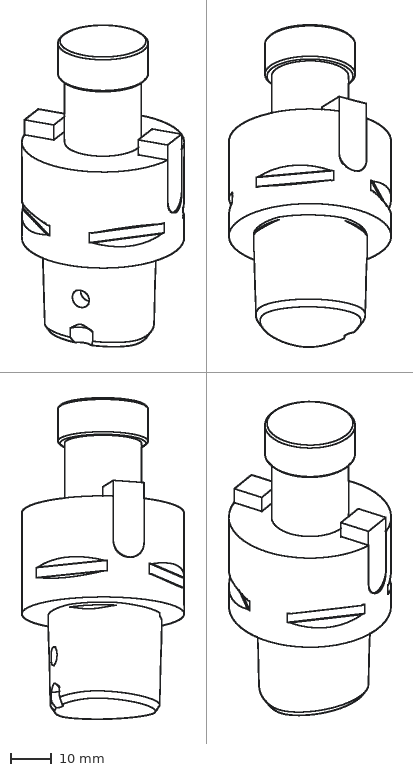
import cadquery as cq
import math

TOTAL_LENGTH = 76.25

FLANGE_DIAMETER = 40.0
FLANGE_HEIGHT = 25.5

SHANK_LENGTH = 24.0
SHANK_MEAN_RADIUS = 14.0
LOBE_HEIGHT = 0.9
LOBE_COUNT = 3
SHANK_STRAIGHT_LENGTH = 2.5
SHANK_TAPER_INSET = 0.5
SHANK_CHAMFER_INSET = 1.1
SHANK_CHAMFER_HEIGHT = 1.6
PROFILE_POINTS = 48

RELIEF_RADIUS = 14.0
RELIEF_STRAIGHT_LENGTH = 0.7
RELIEF_LENGTH = 1.8
RELIEF_FLARE = 0.9

STEM_DIAMETER = 19.0
COLLAR_DIAMETER = 22.3
COLLAR_HEIGHT = 9.2
COLLAR_CHAMFER = 0.5

GROOVE_COUNT = 4
GROOVE_FIRST_ANGLE = 45
GROOVE_CENTER_Z = 7.9
GROOVE_FLOOR_HEIGHT = 2.6
GROOVE_FLOOR_RADIUS = 17.45
GROOVE_SHELF_DEPTH = 0.4
GROOVE_FLANK_ANGLE = 30

KEY_ANGLES = (0, 180)
KEY_WIDTH = 8.0
KEY_DEPTH = 8.0
KEY_OUTER_X = 19.5
KEY_PROJECTION = 4.0
KEY_SEAT_DEPTH = 15.2

RADIAL_HOLE_POINT_ANGLE = 118
RADIAL_HOLE_DIAMETER = 4.6
RADIAL_HOLE_DEPTH = 5.0
RADIAL_HOLE_DROP = 11.5
NOTCH_DIAMETER = 7.0
NOTCH_HEIGHT = 4.05
NOTCH_AXIS_Y = -14.1
NOTCH_POINT_ANGLE = 104

FLANGE_RADIUS = FLANGE_DIAMETER / 2
STEM_LENGTH = TOTAL_LENGTH - SHANK_LENGTH - FLANGE_HEIGHT - COLLAR_HEIGHT
CLEARANCE = 3.8


def lobed_section(mean_radius, z):
    """Closed polygon-shank section; sections of different radius are parallel curves."""
    points = []
    for i in range(PROFILE_POINTS):
        angle = 2 * math.pi * i / PROFILE_POINTS
        lobe_angle = LOBE_COUNT * (angle - math.pi / 2)
        reach = mean_radius + LOBE_HEIGHT * math.cos(lobe_angle)
        slide = -LOBE_COUNT * LOBE_HEIGHT * math.sin(lobe_angle)
        x = reach * math.cos(angle) - slide * math.sin(angle)
        y = reach * math.sin(angle) + slide * math.cos(angle)
        points.append(cq.Vector(x, y, z))
    return cq.Wire.assembleEdges([cq.Edge.makeSpline(points, periodic=True)])


def drill(radius, depth, point_angle):
    """Drill shape pointing along +Z from the origin; depth is to the start of the point."""
    point_height = radius / math.tan(math.radians(point_angle / 2))
    return (
        cq.Workplane("XZ")
        .moveTo(0, -CLEARANCE)
        .lineTo(radius, -CLEARANCE)
        .lineTo(radius, depth)
        .lineTo(0, depth + point_height)
        .close()
        .revolve(360, (0, 0, 0), (0, 1, 0))
    )


def make_shank():
    tip_radius = SHANK_MEAN_RADIUS - SHANK_TAPER_INSET
    chamfer_z = SHANK_CHAMFER_HEIGHT - SHANK_LENGTH
    top = lobed_section(SHANK_MEAN_RADIUS, 0)
    taper_start = lobed_section(SHANK_MEAN_RADIUS, -SHANK_STRAIGHT_LENGTH)
    taper_end = lobed_section(tip_radius, chamfer_z)
    bottom = lobed_section(tip_radius - SHANK_CHAMFER_INSET, -SHANK_LENGTH)

    shank = cq.Workplane(cq.Solid.makeLoft([top, taper_start, taper_end, bottom], True))
    shank = shank.cut(make_lobe_relief())
    shank = shank.cut(make_radial_hole())
    return shank.cut(make_bottom_notch())


def make_lobe_relief():
    """Ring around the shank whose inner wall is a short cylinder flaring into a cone."""
    outer = FLANGE_RADIUS
    return (
        cq.Workplane("XZ")
        .moveTo(RELIEF_RADIUS, 0)
        .lineTo(RELIEF_RADIUS, -RELIEF_STRAIGHT_LENGTH)
        .lineTo(RELIEF_RADIUS + RELIEF_FLARE, -RELIEF_LENGTH)
        .lineTo(outer, -RELIEF_LENGTH)
        .lineTo(outer, 0)
        .close()
        .revolve(360, (0, 0, 0), (0, 1, 0))
    )


def make_radial_hole():
    flat_side_y = LOBE_HEIGHT - SHANK_MEAN_RADIUS
    return (
        drill(RADIAL_HOLE_DIAMETER / 2, RADIAL_HOLE_DEPTH, RADIAL_HOLE_POINT_ANGLE)
        .rotate((0, 0, 0), (1, 0, 0), -90)
        .translate((0, flat_side_y, -RADIAL_HOLE_DROP))
    )


def make_bottom_notch():
    notch = drill(NOTCH_DIAMETER / 2, NOTCH_HEIGHT, NOTCH_POINT_ANGLE)
    return notch.translate((0, NOTCH_AXIS_Y, -SHANK_LENGTH))


def make_groove(angle):
    """Straight groove with a stepped floor and sloping flanks, at the given angle about Z."""
    outer = FLANGE_RADIUS + CLEARANCE
    shelf_radius = GROOVE_FLOOR_RADIUS + GROOVE_SHELF_DEPTH
    half_floor = GROOVE_FLOOR_HEIGHT / 2
    half_mouth = half_floor + (outer - shelf_radius) * math.tan(math.radians(GROOVE_FLANK_ANGLE))
    return (
        cq.Workplane("XZ")
        .moveTo(GROOVE_FLOOR_RADIUS, -half_floor)
        .lineTo(shelf_radius, -half_floor)
        .lineTo(outer, -half_mouth)
        .lineTo(outer, half_mouth)
        .lineTo(shelf_radius, half_floor)
        .lineTo(GROOVE_FLOOR_RADIUS, half_floor)
        .close()
        .extrude(FLANGE_RADIUS, both=True)
        .translate((0, 0, GROOVE_CENTER_Z))
        .rotate((0, 0, 0), (0, 0, 1), angle)
    )


def make_key_block(depth, angle):
    """Key with a square top and a round lower end, running outward from its inner face."""
    half_width = KEY_WIDTH / 2
    bottom_z = FLANGE_HEIGHT - KEY_SEAT_DEPTH
    top_z = FLANGE_HEIGHT + KEY_PROJECTION
    return (
        cq.Workplane("YZ", origin=(KEY_OUTER_X - KEY_DEPTH, 0, 0))
        .moveTo(-half_width, top_z)
        .lineTo(-half_width, bottom_z + half_width)
        .threePointArc((0, bottom_z), (half_width, bottom_z + half_width))
        .lineTo(half_width, top_z)
        .close()
        .extrude(depth)
        .rotate((0, 0, 0), (0, 0, 1), angle)
    )


def make_flange():
    flange = cq.Workplane("XY").circle(FLANGE_RADIUS).extrude(FLANGE_HEIGHT)
    for i in range(GROOVE_COUNT):
        flange = flange.cut(make_groove(GROOVE_FIRST_ANGLE + i * 360 / GROOVE_COUNT))
    for angle in KEY_ANGLES:
        flange = flange.cut(make_key_block(KEY_DEPTH + CLEARANCE, angle))
    return flange


def make_pilot():
    """Stem with a chamfered collar on top."""
    stem = cq.Workplane("XY", origin=(0, 0, FLANGE_HEIGHT)).circle(STEM_DIAMETER / 2).extrude(STEM_LENGTH)
    collar = (
        cq.Workplane("XY", origin=(0, 0, FLANGE_HEIGHT + STEM_LENGTH))
        .circle(COLLAR_DIAMETER / 2)
        .extrude(COLLAR_HEIGHT)
        .edges("%CIRCLE")
        .chamfer(COLLAR_CHAMFER)
    )
    return stem.union(collar)


arbor = make_flange().union(make_shank()).union(make_pilot()).solids().val()
keys = [make_key_block(KEY_DEPTH, angle) for angle in KEY_ANGLES]

result = cq.Compound.makeCompound([arbor, *[key.val() for key in keys]])